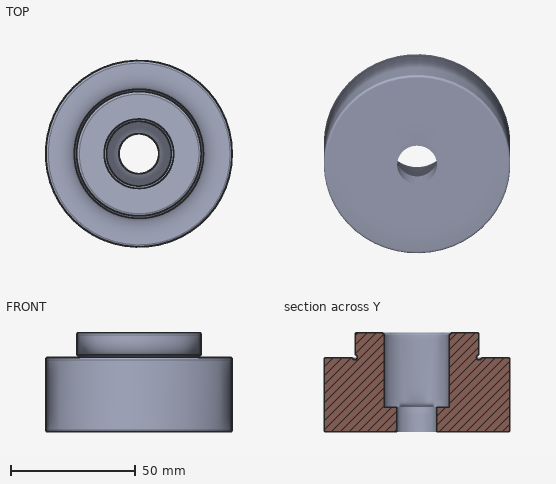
import cadquery as cq

body_diameter = 75.0
body_height = 30.0
boss_diameter = 50.0
boss_height = 10.0
bore_diameter = 26.0
through_diameter = 16.0
edge_size = 1.0
floor_thickness = 10.0

total_height = body_height + boss_height
bore_depth = total_height - floor_thickness


def rounded_body():
    """Main cylinder with both rims rounded."""
    body = cq.Workplane("XY").circle(body_diameter / 2).extrude(body_height)
    return body.edges("%CIRCLE").fillet(edge_size)


def rounded_boss():
    """Upper cylinder with its top rim rounded."""
    boss = cq.Workplane("XY").workplane(offset=body_height).circle(boss_diameter / 2).extrude(boss_height)
    return boss.faces(">Z").edges().fillet(edge_size)


def relief_groove():
    """Ring of round section centred on the corner between boss and body."""
    section = cq.Workplane("XZ").center(boss_diameter / 2, body_height).circle(edge_size)
    return section.revolve(360, (-boss_diameter / 2, 0), (-boss_diameter / 2, 1))


def stepped_bore(part):
    """Wide bore from the top, chamfered at its mouth, above a narrower through hole."""
    part = part.faces(">Z").workplane(origin=(0, 0, 0)).cboreHole(through_diameter, bore_diameter, bore_depth)
    return part.faces(">Z").edges(cq.selectors.RadiusNthSelector(0)).chamfer(edge_size)


shell = rounded_body().union(rounded_boss()).cut(relief_groove())
result = stepped_bore(shell)